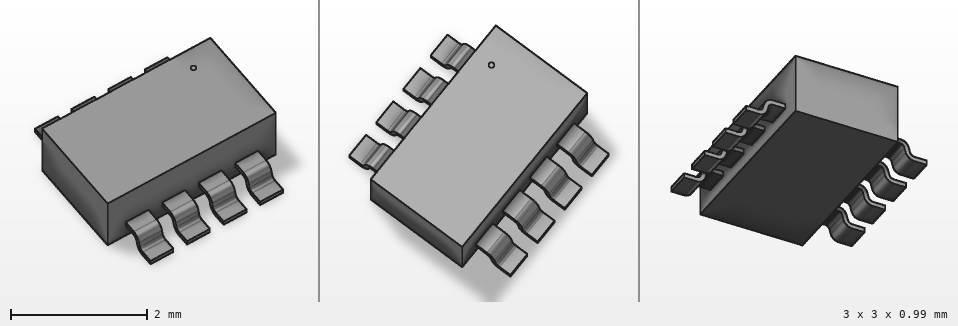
import cadquery as cq
import math

HOUSING_WIDTH = 1.7
HOUSING_LENGTH = 3.0
HOUSING_HEIGHT = 0.99

SPAN = 3.0
LEADS_PER_SIDE = 4
LEAD_PITCH = 0.65
LEAD_WIDTH = 0.408
LEAD_THICKNESS = 0.078
LEAD_RISE = 0.24
FOOT_LENGTH = 0.207
INNER_BEND_RADIUS = 0.072
BEND_ANGLE = 75.0

MARKER_DIAMETER = 0.085
MARKER_DEPTH = 0.03
MARKER_INSET = 0.325

HALF_SPAN = SPAN / 2
HOUSING_SIDE = HOUSING_WIDTH / 2
OUTER_BEND_RADIUS = INNER_BEND_RADIUS + LEAD_THICKNESS
END_LEAD_Y = (LEADS_PER_SIDE - 1) / 2 * LEAD_PITCH
LEAD_POSITIONS = [END_LEAD_Y - i * LEAD_PITCH for i in range(LEADS_PER_SIDE)]


def make_marker():
    """Disc whose top face is level with the housing top, in line with the first lead."""
    return (
        cq.Workplane("XY", origin=(MARKER_INSET - HOUSING_SIDE, END_LEAD_Y, HOUSING_HEIGHT))
        .circle(MARKER_DIAMETER / 2)
        .extrude(-MARKER_DEPTH)
    )


def make_housing(marker):
    """Block with a recess that the marker fills."""
    block = cq.Workplane("XY").box(
        HOUSING_WIDTH, HOUSING_LENGTH, HOUSING_HEIGHT, centered=(True, True, False)
    )
    return block.cut(marker)


def arc_point(center, radius, degrees):
    """Point on a circle in the XZ plane, its angle measured from +X toward +Z."""
    angle = math.radians(degrees)
    return (center[0] + radius * math.cos(angle), center[1] + radius * math.sin(angle))


def make_lead(y_center):
    """Lead on the -X side: flat foot, two opposite bends joined by a steep straight, flat shoulder."""
    slope = math.radians(BEND_ANGLE)
    radius_sum = INNER_BEND_RADIUS + OUTER_BEND_RADIUS
    straight_rise = LEAD_RISE - radius_sum * (1 - math.cos(slope))
    bend_run = radius_sum * math.sin(slope) + straight_rise / math.tan(slope)

    lower_center = (FOOT_LENGTH - HALF_SPAN, OUTER_BEND_RADIUS)
    upper_center = (
        lower_center[0] + bend_run,
        LEAD_RISE + LEAD_THICKNESS - OUTER_BEND_RADIUS,
    )
    lower_start = -90.0
    lower_middle = lower_start + BEND_ANGLE / 2
    lower_end = lower_start + BEND_ANGLE
    upper_start = lower_end + 180.0
    upper_middle = lower_middle + 180.0
    upper_end = lower_start + 180.0

    profile = (
        cq.Workplane("XZ", origin=(0, y_center + LEAD_WIDTH / 2, 0))
        .moveTo(-HALF_SPAN, 0)
        .lineTo(*arc_point(lower_center, OUTER_BEND_RADIUS, lower_start))
        .threePointArc(
            arc_point(lower_center, OUTER_BEND_RADIUS, lower_middle),
            arc_point(lower_center, OUTER_BEND_RADIUS, lower_end),
        )
        .lineTo(*arc_point(upper_center, INNER_BEND_RADIUS, upper_start))
        .threePointArc(
            arc_point(upper_center, INNER_BEND_RADIUS, upper_middle),
            arc_point(upper_center, INNER_BEND_RADIUS, upper_end),
        )
        .lineTo(-HOUSING_SIDE, LEAD_RISE)
        .lineTo(-HOUSING_SIDE, LEAD_RISE + LEAD_THICKNESS)
        .lineTo(*arc_point(upper_center, OUTER_BEND_RADIUS, upper_end))
        .threePointArc(
            arc_point(upper_center, OUTER_BEND_RADIUS, upper_middle),
            arc_point(upper_center, OUTER_BEND_RADIUS, upper_start),
        )
        .lineTo(*arc_point(lower_center, INNER_BEND_RADIUS, lower_end))
        .threePointArc(
            arc_point(lower_center, INNER_BEND_RADIUS, lower_middle),
            arc_point(lower_center, INNER_BEND_RADIUS, lower_start),
        )
        .lineTo(-HALF_SPAN, LEAD_THICKNESS)
        .close()
    )
    return profile.extrude(LEAD_WIDTH)


marker = make_marker()
housing = make_housing(marker)

leads = []
for y_center in LEAD_POSITIONS:
    left_lead = make_lead(y_center)
    leads.append(left_lead.val())
    leads.append(left_lead.mirror("YZ").val())

result = cq.Compound.makeCompound([housing.val(), marker.val(), *leads])